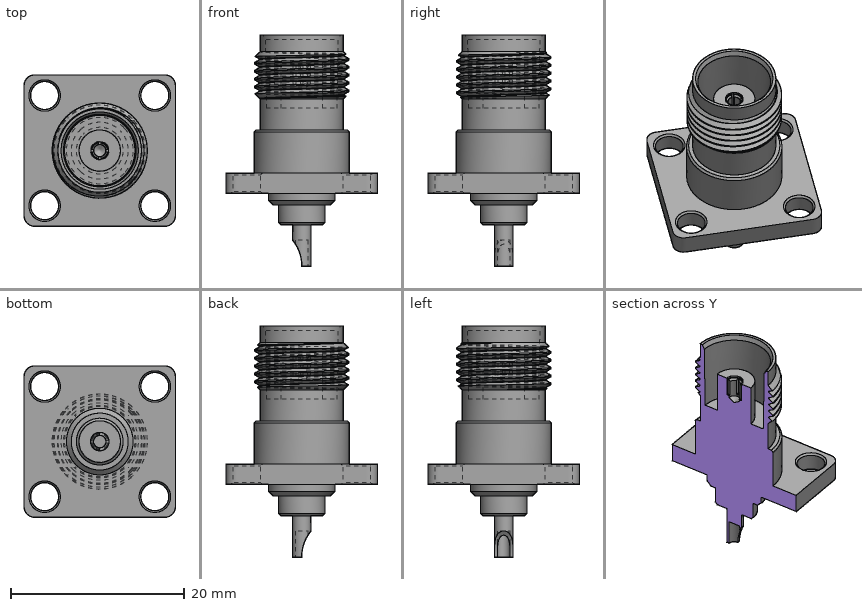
import cadquery as cq
import math

OVERLAP = 0.13

overall_height = 26.7

flange_side = 17.5
flange_height = 2.35
flange_corner_radius = 1.25
hole_offset = 6.35
hole_radius = 1.6
hole_chamfer = 0.21

body_radius = 5.5
body_top = 7.35
body_chamfer = 0.25
sleeve_radius = 4.8
sleeve_top = 18.3

thread_radius = 5.47
thread_root_radius = 4.89
thread_pitch = 0.9
thread_bottom = 10.9
thread_top = 16.37
thread_flank_angle = 30.0
groove_root_width = 0.08
groove_start = 10.47
groove_turns = 7

mouth_radius = 4.45
taper_top_radius = 4.2
socket_radius = 4.05
mouth_depth = 0.53
socket_depth = 8.4
insulator_radius = 2.38
insulator_recess = 3.3

contact_recess = 0.21
contact_radius = 1.01
contact_bore_radius = 0.7
contact_lead_radius = 0.9
contact_bore_depth = 2.4
drill_half_angle = 59.0
slot_width = 0.3
slot_depth = 2.14

collar_radius = 3.85
collar_bottom = -1.35
collar_chamfer = 0.55
plug_radius = 2.7
plug_bottom = -3.63
plug_chamfer = 0.3

pin_radius = 1.07
pin_bottom = sleeve_top - overall_height
cup_radius = 0.72
cup_top = -5.37


def cylinder(radius, bottom, top):
    return cq.Workplane("XY").workplane(offset=bottom).circle(radius).extrude(top - bottom)


def revolve_profile(points):
    """Revolve (radius, height) points about Z."""
    return cq.Workplane("XZ").polyline(points).close().revolve(360, (0, 0, 0), (0, 1, 0))


def make_flange():
    """Plate with rounded corners and four through holes chamfered at both ends."""
    flange = (
        cq.Workplane("XY")
        .rect(flange_side, flange_side)
        .extrude(flange_height)
        .edges("|Z")
        .fillet(flange_corner_radius)
    )
    rim_radius = hole_radius + hole_chamfer
    hole = revolve_profile(
        [
            (0, 0),
            (rim_radius, 0),
            (hole_radius, hole_chamfer),
            (hole_radius, flange_height - hole_chamfer),
            (rim_radius, flange_height),
            (0, flange_height),
        ]
    )
    for x in (-hole_offset, hole_offset):
        for y in (-hole_offset, hole_offset):
            flange = flange.cut(hole.translate((x, y, 0)))
    return flange


def make_thread():
    """Ring with 45 degree ends and a right-hand V groove cut into it."""
    end_chamfer = thread_radius - sleeve_radius
    ring = cylinder(thread_radius, thread_bottom, thread_top).edges().chamfer(end_chamfer)

    cutter_radius = thread_radius + OVERLAP
    root_half = groove_root_width / 2
    flank_rise = (cutter_radius - thread_root_radius) * math.tan(math.radians(thread_flank_angle))
    mouth_half = root_half + flank_rise
    for turn in range(groove_turns):
        start = groove_start + turn * thread_pitch
        helix = cq.Wire.makeHelix(
            thread_pitch, thread_pitch, thread_root_radius, cq.Vector(0, 0, start)
        )
        groove = (
            cq.Workplane("XZ")
            .polyline(
                [
                    (thread_root_radius, start - root_half),
                    (cutter_radius, start - mouth_half),
                    (cutter_radius, start + mouth_half),
                    (thread_root_radius, start + root_half),
                ]
            )
            .close()
            .sweep(cq.Workplane(obj=helix), isFrenet=True)
        )
        ring = ring.cut(groove)
    return ring


def make_socket():
    """Chamfered, tapered bore that leaves the insulator standing in its middle."""
    floor = sleeve_top - socket_depth
    bore = revolve_profile(
        [
            (0, floor),
            (socket_radius, floor),
            (taper_top_radius, sleeve_top - mouth_depth),
            (mouth_radius, sleeve_top),
            (0, sleeve_top),
        ]
    )
    return bore.cut(cylinder(insulator_radius, floor, sleeve_top - insulator_recess))


def make_contact_cut():
    """Recess to the contact face, then a countersunk blind bore with four slots in its wall."""
    insulator_face = sleeve_top - insulator_recess
    face = insulator_face - contact_recess
    floor = face - contact_bore_depth
    tip = floor - contact_bore_radius / math.tan(math.radians(drill_half_angle))
    lead_depth = contact_lead_radius - contact_bore_radius
    bore = revolve_profile(
        [
            (0, tip),
            (contact_bore_radius, floor),
            (contact_bore_radius, face - lead_depth),
            (contact_lead_radius, face),
            (contact_radius, face),
            (contact_radius, insulator_face),
            (0, insulator_face),
        ]
    )
    slots = cq.Workplane("XY")
    for length, width in [(2 * contact_radius, slot_width), (slot_width, 2 * contact_radius)]:
        slots = slots.union(
            cq.Workplane("XY").workplane(offset=face - slot_depth).rect(length, width).extrude(slot_depth)
        )
    return bore.union(slots)


def make_solder_pin():
    """Round pin with a blind cup, half scooped away on its -X side by an arc."""
    pin = cylinder(pin_radius, pin_bottom, 0)
    cup = cylinder(cup_radius, pin_bottom - OVERLAP, cup_top)
    scoop_height = cup_top - pin_bottom
    scoop_radius = (scoop_height**2 + pin_radius**2) / (2 * pin_radius)
    scoop = (
        cq.Workplane("XZ")
        .center(-scoop_radius, pin_bottom)
        .circle(scoop_radius)
        .extrude(pin_radius + OVERLAP, both=True)
    )
    return pin.cut(cup).cut(scoop)


body = cylinder(body_radius, 0, body_top).faces(">Z").chamfer(body_chamfer)
sleeve = cylinder(sleeve_radius, 0, sleeve_top)
collar = cylinder(collar_radius, collar_bottom, 0).faces("<Z").chamfer(collar_chamfer)
plug = cylinder(plug_radius, plug_bottom, 0).faces("<Z").chamfer(plug_chamfer)

result = make_flange()
for piece in (body, sleeve, make_thread(), collar, plug, make_solder_pin()):
    result = result.union(piece)
result = result.cut(make_socket()).cut(make_contact_cut())